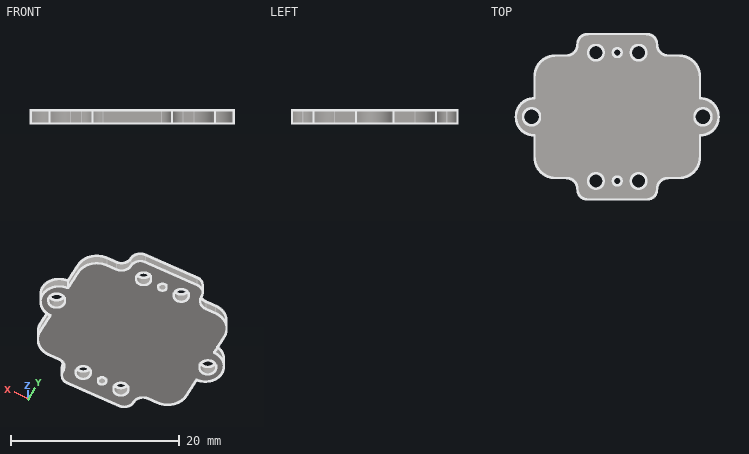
import cadquery as cq

length = 24.13
width = 19.7
thickness = 1.6

body_length = 19.7
body_width = 14.6
body_corner_radius = 2.53

tab_length = 9.5
tab_radius = 1.25

ear_center_x = body_length / 2
ear_radius = length / 2 - ear_center_x

ear_hole_diameter = 2.0
ear_hole_x = 10.18
tab_hole_diameter = 1.8
tab_hole_x = 2.53
tab_hole_y = 7.63
pilot_hole_diameter = 1.01


def box(size_x, size_y):
    """Plate block centred in X and Y, standing on Z = 0."""
    return cq.Workplane("XY").box(size_x, size_y, thickness, centered=(True, True, False))


def cylinders(points, diameter):
    """Full-thickness cylinders at the given points."""
    return cq.Workplane("XY").pushPoints(points).circle(diameter / 2).extrude(thickness)


def edges_near(half_x, half_y):
    """Selector for the four vertical edges at (+/-half_x, +/-half_y)."""
    margin = 0.02
    selector = None
    for x in (-half_x, half_x):
        for y in (-half_y, half_y):
            corner = cq.selectors.BoxSelector(
                (x - margin, y - margin, 0),
                (x + margin, y + margin, thickness),
            )
            selector = corner if selector is None else selector + corner
    return selector


plate = box(body_length, body_width).union(box(tab_length, width))
plate = plate.edges(edges_near(body_length / 2, body_width / 2)).fillet(body_corner_radius)
plate = plate.edges(edges_near(tab_length / 2, width / 2)).fillet(tab_radius)
plate = plate.edges(edges_near(tab_length / 2, body_width / 2)).fillet(tab_radius)

ear_centers = [(-ear_center_x, 0), (ear_center_x, 0)]
plate = plate.union(cylinders(ear_centers, 2 * ear_radius))

ear_holes = [(-ear_hole_x, 0), (ear_hole_x, 0)]
tab_holes = [(x, y) for x in (-tab_hole_x, tab_hole_x) for y in (-tab_hole_y, tab_hole_y)]
pilot_holes = [(0, -tab_hole_y), (0, tab_hole_y)]

plate = plate.cut(cylinders(ear_holes, ear_hole_diameter))
plate = plate.cut(cylinders(tab_holes, tab_hole_diameter))
result = plate.cut(cylinders(pilot_holes, pilot_hole_diameter))